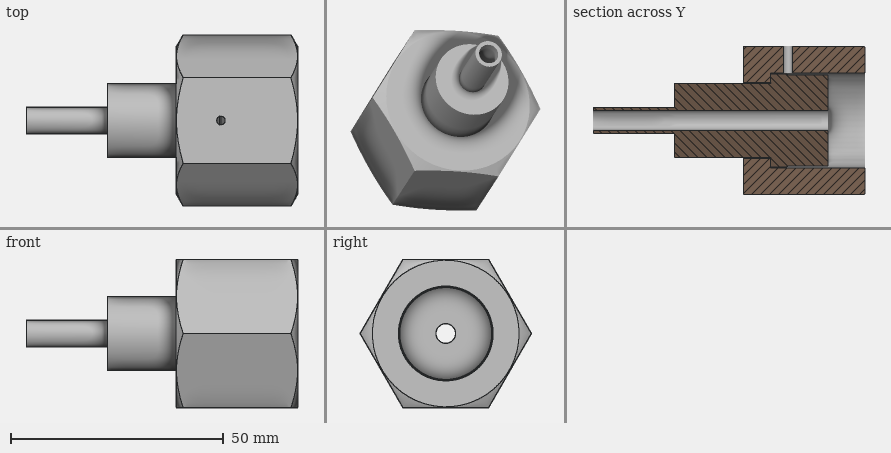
import cadquery as cq
import math


nut_length = 28.7
across_flats = 34.92
across_corners = across_flats / math.cos(math.pi / 6)
chamfer_face_diameter = 34.5
chamfer_angle = 30.0
shoulder_thickness = 6.5
running_clearance = 0.3
port_diameter = 2.0
port_x = 10.57

tube_diameter = 6.35
tube_length = 19.05
bore_diameter = 4.57
sleeve_diameter = 17.5
sleeve_exposed_length = 16.12
flange_diameter = 22.0
flange_taper_length = 0.4
flange_taper_angle = 25.0
flange_end_x = port_x
nose_diameter = flange_diameter - 2 * flange_taper_length * math.tan(math.radians(flange_taper_angle))
nose_end_x = 20.0

rear_hole_diameter = sleeve_diameter + running_clearance
chamber_diameter = flange_diameter + running_clearance


def cylinder(diameter, x_start, x_end):
    """Solid cylinder on the X axis between two x positions."""
    return cq.Workplane("YZ", origin=(x_start, 0, 0)).circle(diameter / 2).extrude(x_end - x_start)


def chamfer_envelope():
    """Turned blank, coned at both ends, that trims the hexagon's corners."""
    face_radius = chamfer_face_diameter / 2
    corner_radius = across_corners / 2
    chamfer_length = (corner_radius - face_radius) * math.tan(math.radians(chamfer_angle))
    return (
        cq.Workplane("XY")
        .moveTo(0, 0)
        .lineTo(0, face_radius)
        .lineTo(chamfer_length, corner_radius)
        .lineTo(nut_length - chamfer_length, corner_radius)
        .lineTo(nut_length, face_radius)
        .lineTo(nut_length, 0)
        .close()
        .revolve(360, (0, 0, 0), (1, 0, 0))
    )


def make_nut():
    hexagon = cq.Workplane("YZ").polygon(6, across_corners).extrude(nut_length)
    port = (
        cq.Workplane("XY", origin=(port_x, 0, 0))
        .circle(port_diameter / 2)
        .extrude(across_flats / 2)
    )
    return (
        hexagon.intersect(chamfer_envelope())
        .cut(cylinder(rear_hole_diameter, 0, shoulder_thickness))
        .cut(cylinder(chamber_diameter, shoulder_thickness, nut_length))
        .cut(port)
    )


def make_gland():
    sleeve_start_x = -sleeve_exposed_length
    tube_start_x = sleeve_start_x - tube_length
    return (
        cq.Workplane("XY")
        .moveTo(tube_start_x, bore_diameter / 2)
        .lineTo(tube_start_x, tube_diameter / 2)
        .lineTo(sleeve_start_x, tube_diameter / 2)
        .lineTo(sleeve_start_x, sleeve_diameter / 2)
        .lineTo(shoulder_thickness, sleeve_diameter / 2)
        .lineTo(shoulder_thickness, flange_diameter / 2)
        .lineTo(flange_end_x - flange_taper_length, flange_diameter / 2)
        .lineTo(flange_end_x, nose_diameter / 2)
        .lineTo(nose_end_x, nose_diameter / 2)
        .lineTo(nose_end_x, bore_diameter / 2)
        .close()
        .revolve(360, (0, 0, 0), (1, 0, 0))
    )


nut = make_nut()
gland = make_gland()
result = cq.Compound.makeCompound([nut.val(), gland.val()])